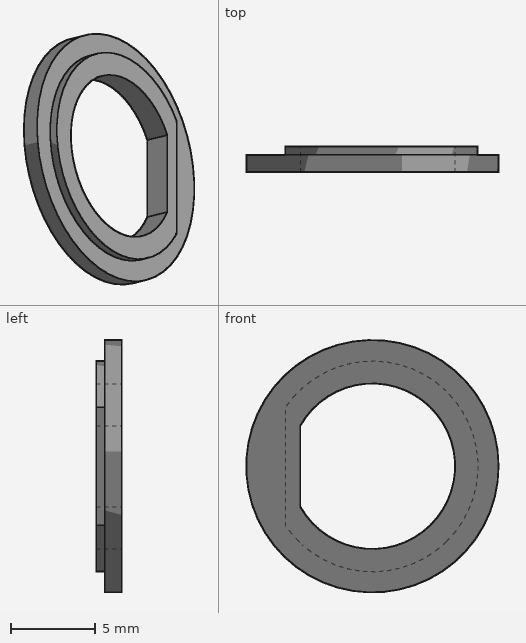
import cadquery as cq

flange_diameter = 14.986
flange_thickness = 1.016
boss_diameter = 12.5
boss_height = 0.508
boss_flat_distance = 5.18
bore_diameter = 9.8
bore_flat_distance = 4.27

total_thickness = flange_thickness + boss_height


def disc(diameter, start_y, length):
    """Cylinder about the Y axis, growing toward +Y from start_y."""
    return cq.Workplane("XZ", origin=(0, start_y, 0)).circle(diameter / 2).extrude(-length)


def flatted_disc(diameter, flat_distance, start_y, length):
    """Disc cut by a flat that faces -X, flat_distance from the axis."""
    kept_side = cq.Workplane("XY").box(
        diameter, length, diameter, centered=(False, False, True)
    ).translate((-flat_distance, start_y, 0))
    return disc(diameter, start_y, length).intersect(kept_side)


flange = disc(flange_diameter, 0, flange_thickness)
boss = flatted_disc(boss_diameter, boss_flat_distance, flange_thickness, boss_height)

bore = flatted_disc(bore_diameter, bore_flat_distance, 0, total_thickness)

result = flange.union(boss).cut(bore)